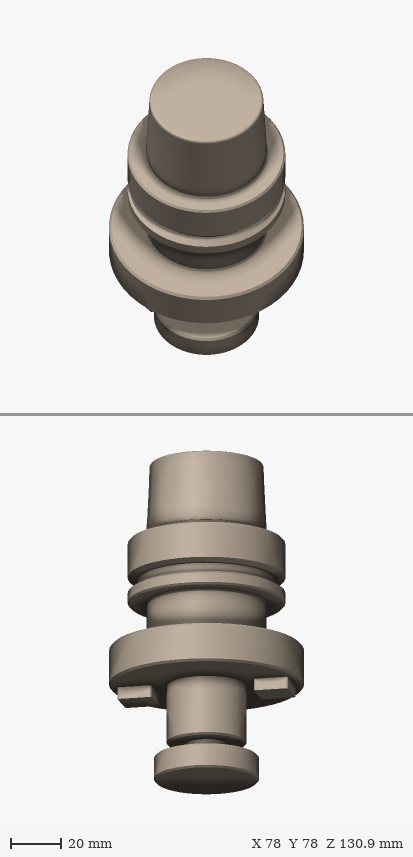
import cadquery as cq
import math

total_height = 130.9
head_height = 10.0
spigot_bottom = 15.0
collar_bottom = 39.1
collar_top = 55.0
flange_bottom = 73.0
flange_top = 99.0
taper_bottom = 101.8

head_radius = 21.1
neck_radius = 8.1
spigot_radius = 16.0
collar_radius = 39.0
shank_radius = 24.0
flange_radius = 31.5
taper_bottom_radius = 24.2
taper_top_radius = 22.8

flange_chamfer = 0.8
collar_chamfer = 0.9
spigot_chamfer = 0.8
head_chamfer = 0.8
taper_fillet = 1.2

spigot_relief_height = 2.6
spigot_relief_depth = 0.1

root_flare = 0.7
neck_flare_width = 0.1
neck_flare_height = 0.5

groove_bottom = 79.0
groove_top = 82.9
groove_radius = 27.5
groove_lip_width = 2.4
groove_lip_angle = 30
groove_lip_height = groove_lip_width * math.tan(math.radians(groove_lip_angle))

recess_radius = 26.6
recess_depth = 0.3

key_size = 14.0
key_drop = 4.8
key_offset = 28.0
key_corner_chamfer = 0.5


def cylinder(radius, bottom, top):
    return cq.Workplane("XY").workplane(offset=bottom).circle(radius).extrude(top - bottom)


def cone(bottom_radius, top_radius, bottom, top):
    height = top - bottom
    solid = cq.Solid.makeCone(bottom_radius, top_radius, height, cq.Vector(0, 0, bottom))
    return cq.Workplane(obj=solid)


def chamfered_disc(radius, bottom, top, chamfer):
    return cylinder(radius, bottom, top).faces("|Z").edges().chamfer(chamfer)


def make_screw():
    head = chamfered_disc(head_radius, 0, head_height, head_chamfer)
    neck = cylinder(neck_radius, head_height, spigot_bottom)
    root = cone(neck_radius + neck_flare_width, neck_radius, head_height, head_height + neck_flare_height)
    return head.union(neck).union(root)


def make_spigot():
    relief_bottom = collar_bottom - spigot_relief_height
    spigot = cylinder(spigot_radius, spigot_bottom, relief_bottom)
    spigot = spigot.faces("<Z").edges().chamfer(spigot_chamfer)
    relief = cylinder(spigot_radius - spigot_relief_depth, relief_bottom, collar_bottom)
    return spigot.union(relief)


def make_keys():
    keys = cq.Workplane("XY").workplane(offset=collar_bottom - key_drop)
    keys = keys.pushPoints([(0, -key_offset), (0, key_offset)])
    keys = keys.rect(key_size, key_size).extrude(key_drop)
    return keys.edges("|Z").chamfer(key_corner_chamfer)


def make_shank():
    shank = cylinder(shank_radius, collar_top, flange_bottom)
    flared_radius = shank_radius + root_flare
    lower_root = cone(flared_radius, shank_radius, collar_top, collar_top + root_flare)
    upper_root = cone(shank_radius, flared_radius, flange_bottom - root_flare, flange_bottom)
    return shank.union(lower_root).union(upper_root)


def make_flange():
    flange = chamfered_disc(flange_radius, flange_bottom, flange_top, flange_chamfer)
    rim_radius = flange_radius - groove_lip_width
    groove_profile = [
        (groove_radius, groove_bottom),
        (rim_radius, groove_bottom),
        (flange_radius, groove_bottom - groove_lip_height),
        (flange_radius, groove_top + groove_lip_height),
        (rim_radius, groove_top),
        (groove_radius, groove_top),
    ]
    groove = cq.Workplane("XZ").polyline(groove_profile).close().revolve(360, (0, 0), (0, 1))
    recess = cone(shank_radius + root_flare, recess_radius, flange_top - recess_depth, flange_top)
    return flange.cut(groove).cut(recess)


def make_taper():
    seat = flange_top - recess_depth
    root = cone(shank_radius + root_flare, shank_radius, seat, seat + root_flare)
    relief = cylinder(shank_radius, seat, taper_bottom)
    taper = cone(taper_bottom_radius, taper_top_radius, taper_bottom, total_height)
    taper = taper.faces(">Z").edges().fillet(taper_fillet)
    return relief.union(root).union(taper)


collar = chamfered_disc(collar_radius, collar_bottom, collar_top, collar_chamfer)
result = (
    make_screw()
    .union(make_spigot())
    .union(make_keys())
    .union(collar)
    .union(make_shank())
    .union(make_flange())
    .union(make_taper())
)